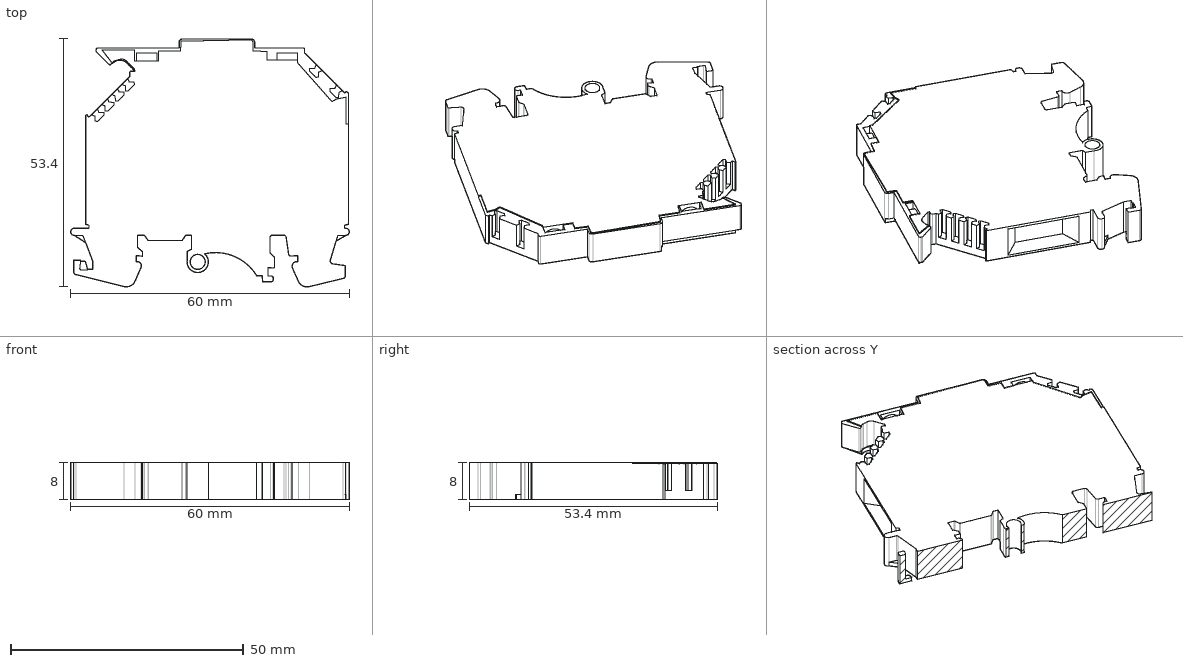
import cadquery as cq
import math


WIDTH = 60.0
HEIGHT = 53.4
THICKNESS = 8.0

WEB_TOP = 1.1
NOTCH_FLOOR = 2.0
RIM_DROP = 0.25
RIM_LEVEL = THICKNESS - RIM_DROP

LEFT_WALL = -26.75
RIGHT_WALL = 29.9
SHOULDER = 51.5
TAB_LEFT = -6.65
TAB_RIGHT = 9.65
LUG_TOP = 12.65
LUG_UNDERSIDE = 11.1
LUG_RADIUS = 0.75
RAIL_CEILING = 11.1
CLIP_FLOOR = 2.4

FLANK_LEFT_START = (-18.35, 44.3)
FLANK_RIGHT_START = (23.5, 47.2)
LEFT_NOTCHES = 4
RIGHT_NOTCHES = 2
LEFT_ROW_RUN = 6.55
NOTCH_STEP = LEFT_ROW_RUN / (LEFT_NOTCHES - 1)
MOUTH_HALF = 0.9
NECK_HALF = 0.6
NECK_DEPTH = 0.8
WAIST_HALF = 1.3
WAIST_DEPTH = 1.55
NOTCH_BOTTOM_HALF = 0.95
NOTCH_DEPTH = 2.0

PLUG_DIAMETER = 4.4
PLUG_COVER = 0.65
PLUG_AXIS_Z = RIM_LEVEL - PLUG_COVER - PLUG_DIAMETER / 2
WINDOW_TOP = 50.4
LEFT_WINDOW_X = -13.6
LEFT_WINDOW_BOTTOM = 48.65
RIGHT_WINDOW_X = 16.6
RIGHT_WINDOW_BOTTOM = 48.9

PIVOT = (-2.65, 5.4)
PIVOT_DIAMETER = 4.6
PIVOT_BORE = 3.2
RELIEF_CENTRE = (1.2, -3.0)
RELIEF_RADIUS = 10.4

ENTRY_Y = (16.1, 32.1)
ENTRY_INNER_Y = (18.4, 29.15)
ENTRY_Z = (0.55, 7.4)
ENTRY_DEPTH = 4.2

STEP_TOP = 51.05
HOOK_INSET_START_Y = 47.45
HOOK_INSET = [(-20.45, HOOK_INSET_START_Y), (-23.3, STEP_TOP)]
RIM_END = 35.1

OVERSHOOT = 3.0
MOUTH_OVERSHOOT = 0.3
CLEAR_LEFT = -WIDTH / 2
CLEAR_RIGHT = WIDTH / 2 + OVERSHOOT
CLEAR_TOP = HEIGHT + OVERSHOOT


def rounded_profile(corners):
    """Closed outline through (x, y, radius) corners, radius 0 meaning sharp."""
    path = cq.Workplane("XY")
    started = False
    for i, (x, y, radius) in enumerate(corners):
        before = corners[i - 1]
        after = corners[(i + 1) % len(corners)]
        corner = cq.Vector(x, y)
        to_before = (cq.Vector(before[0], before[1]) - corner).normalized()
        to_after = (cq.Vector(after[0], after[1]) - corner).normalized()
        half_angle = to_before.getAngle(to_after) / 2
        setback = radius / math.tan(half_angle)
        entry = corner + to_before * setback
        leave = corner + to_after * setback
        path = path.lineTo(entry.x, entry.y) if started else path.moveTo(entry.x, entry.y)
        started = True
        if radius > 0:
            bisector = (to_before + to_after).normalized()
            middle = corner + bisector * (radius / math.sin(half_angle) - radius)
            path = path.threePointArc((middle.x, middle.y), (leave.x, leave.y))
    return path.close()


def prism(points, bottom, top):
    """Straight-sided block between two Z levels."""
    return cq.Workplane("XY").workplane(offset=bottom).polyline(points).close().extrude(top - bottom)


def housing():
    left_side = [
        (LEFT_WALL, 13.5, 0),
        (-26.1, 13.25, 0),
        (-26.1, LUG_TOP, 0),
        (-WIDTH / 2, LUG_TOP, LUG_RADIUS),
        (-WIDTH / 2, LUG_UNDERSIDE, LUG_RADIUS),
        (-27.35, LUG_UNDERSIDE, 0.3),
    ]
    left_foot = [
        (-25.25, 5.5, 0),
        (-25.25, 3.85, 0),
        (-26.4, 3.85, 0),
        (-26.4, 3.65, 0),
        (-28.1, 3.65, 0.3),
        (-27.85, 5.75, 0),
        (-29.35, 5.75, 0),
        (-29.35, 2.75, 0.6),
        (-16.8, -0.35, 2.1),
        (-14.3, 5.45, 0.9),
        (-15.85, 5.45, 0),
        (-15.85, 6.7, 0),
        (-14.5, 6.6, 0),
        (-14.5, 7.6, 0.2),
        (-15.6, 8.5, 0),
        (-15.6, RAIL_CEILING, 0),
    ]
    rail_opening = [
        (-14.1, RAIL_CEILING, 0.2),
        (-13.3, 9.95, 0.2),
        (-6.0, 9.95, 0.2),
        (-5.2, RAIL_CEILING, 0.2),
        (-4.0, RAIL_CEILING, 0),
        (-4.0, 8.1, 0),
        (-4.9, 7.7, 0),
        (-4.9, CLIP_FLOOR, 0),
    ]
    clip = [
        (11.2, CLIP_FLOOR, 0),
        (11.35, 1.1, 0),
        (13.7, 1.1, 0.6),
        (13.7, CLIP_FLOOR, 0.6),
        (12.55, CLIP_FLOOR, 0),
        (12.55, 4.15, 0),
        (13.9, 4.0, 0.3),
        (13.9, 6.35, 0.3),
        (12.95, 7.3, 0.3),
        (12.95, RAIL_CEILING, 0.4),
        (16.3, RAIL_CEILING, 0.4),
        (17.0, 6.6, 0.55),
    ]
    right_foot = [
        (18.9, 6.7, 0),
        (18.9, 5.45, 0),
        (17.1, 5.45, 1.0),
        (19.75, -0.35, 2.1),
        (29.15, 1.9, 0.6),
        (29.15, 4.6, 0.2),
        (25.75, 5.1, 0.6),
    ]
    right_side = [
        (27.55, LUG_UNDERSIDE, 0),
        (WIDTH / 2, LUG_UNDERSIDE, LUG_RADIUS),
        (WIDTH / 2, LUG_TOP, LUG_RADIUS),
        (29.0, LUG_TOP, 0),
        (29.0, 13.25, 0),
        (RIGHT_WALL, 13.5, 0),
        (RIGHT_WALL, 41.7, 0),
        (29.35, 42.1, 0),
        (29.05, 41.75, 0),
    ]
    top_edge = [
        (20.4, 50.4, 0),
        (20.4, SHOULDER, 0.35),
        (TAB_RIGHT, SHOULDER, 0),
        (TAB_RIGHT, HEIGHT, 0.7),
        (TAB_LEFT, HEIGHT, 0.7),
        (TAB_LEFT, SHOULDER, 0),
    ]
    marker_hook = [
        (-24.55, SHOULDER, 0.4),
        (-24.55, 50.7, 0.2),
        (-21.55, 47.7, 0.3),
        (-20.65, 48.65, 0.9),
        (-18.6, 49.25, 1.5),
        (-16.2, 46.85, 0),
        (-16.2, 46.5, 0),
        (-17.3, 46.5, 0.35),
        (-17.3, 45.35, 0),
        (-25.75, 36.9, 0),
        (-26.1, 36.6, 0),
        (-26.5, 37.15, 0),
        (LEFT_WALL, 36.95, 0),
    ]
    outline = left_side + left_foot + rail_opening + clip + right_foot + right_side + top_edge + marker_hook
    return rounded_profile(outline).extrude(THICKNESS)


def thin_webs():
    """Webs at the base that bridge inside corners of the outline."""
    straight_webs = [
        [(-29.4, 11.2), (-26.65, 9.4), (-26.65, 11.2)],
        [(29.5, 11.2), (27.25, 9.9), (27.25, 11.2)],
        [(-28.2, 3.6), (-26.35, 3.6), (-26.35, 3.85), (-26.75, 5.4), (-27.0, 5.6), (-28.2, 5.6)],
    ]
    hook_web = [
        (-20.9, 48.25, 0),
        (-19.5, 49.8, 2.15),
        (-16.4, 46.7, 0),
        (-16.1, 46.7, 0),
        (-17.4, 50.4, 0),
        (-20.9, 50.4, 0),
    ]
    webs = rounded_profile(hook_web).extrude(WEB_TOP)
    for outline in straight_webs:
        webs = webs.union(prism(outline, 0, WEB_TOP))
    return webs


def rim_step():
    """Region along the upper edge where the rim lies below the cover face."""
    cover_edge = HOOK_INSET + [
        (-16.25, STEP_TOP),
        (-16.25, LEFT_WINDOW_BOTTOM),
        (-11.05, LEFT_WINDOW_BOTTOM),
        (-11.05, 50.8),
        (-6.35, 50.8),
        (-6.2, 52.9),
        (8.95, 53.2),
        (9.3, 52.75),
        (9.3, 50.8),
        (12.3, 50.7),
        (12.3, RIGHT_WINDOW_BOTTOM),
        (18.85, RIGHT_WINDOW_BOTTOM),
        (18.85, 48.3),
        (26.3, 39.9),
        (27.2, 40.45),
        (29.3, 40.85),
        (29.3, RIM_END),
    ]
    surround = [
        (CLEAR_RIGHT, RIM_END),
        (CLEAR_RIGHT, CLEAR_TOP),
        (CLEAR_LEFT, CLEAR_TOP),
        (CLEAR_LEFT, HOOK_INSET_START_Y),
    ]
    return prism(cover_edge + surround, RIM_LEVEL, THICKNESS + OVERSHOOT)


def base_step():
    """Relief of the base along the hook and the left end of the top edge."""
    outline = HOOK_INSET + [
        (-6.35, STEP_TOP),
        (-6.35, CLEAR_TOP),
        (CLEAR_LEFT, CLEAR_TOP),
        (CLEAR_LEFT, HOOK_INSET_START_Y),
    ]
    return prism(outline, -OVERSHOOT, WEB_TOP)


def dovetail_notch(centre, inward_angle):
    """Notch cut from a flank at `centre`, pointing along `inward_angle` degrees."""
    half = [
        (-MOUTH_OVERSHOOT, MOUTH_HALF),
        (0, MOUTH_HALF),
        (NECK_DEPTH, NECK_HALF),
        (WAIST_DEPTH, WAIST_HALF),
        (NOTCH_DEPTH, NOTCH_BOTTOM_HALF),
    ]
    mirrored = [(depth, -side) for depth, side in reversed(half)]
    notch = prism(half + mirrored, NOTCH_FLOOR, THICKNESS + OVERSHOOT)
    return notch.rotate((0, 0, 0), (0, 0, 1), inward_angle).translate((centre[0], centre[1], 0))


def flank_notches(start, count, step_x, step_y, inward_angle):
    """Row of equal notches along a flank."""
    notches = dovetail_notch(start, inward_angle)
    for i in range(1, count):
        centre = (start[0] + i * step_x, start[1] + i * step_y)
        notches = notches.union(dovetail_notch(centre, inward_angle))
    return notches


def plug_window(centre_x, bottom):
    """Rectangular opening whose floor is the round back of a plug."""
    length = WINDOW_TOP - bottom
    opening = (
        cq.Workplane("XY")
        .workplane(offset=PLUG_AXIS_Z)
        .center(centre_x, bottom + length / 2)
        .rect(PLUG_DIAMETER, length)
        .extrude(THICKNESS)
    )
    plug = (
        cq.Workplane("XZ", origin=(centre_x, WINDOW_TOP, PLUG_AXIS_Z))
        .circle(PLUG_DIAMETER / 2)
        .extrude(length)
    )
    return opening.cut(plug)


def wire_entry():
    """Funnel that narrows along Y towards its flat back."""
    back = LEFT_WALL + ENTRY_DEPTH
    outline = [
        (LEFT_WALL, ENTRY_Y[0]),
        (back, ENTRY_INNER_Y[0]),
        (back, ENTRY_INNER_Y[1]),
        (LEFT_WALL, ENTRY_Y[1]),
    ]
    return prism(outline, *ENTRY_Z)


def upright_cylinder(centre, diameter):
    return cq.Workplane("XY").center(*centre).circle(diameter / 2).extrude(THICKNESS)


result = (
    housing()
    .cut(upright_cylinder(RELIEF_CENTRE, 2 * RELIEF_RADIUS))
    .union(upright_cylinder(PIVOT, PIVOT_DIAMETER))
    .cut(upright_cylinder(PIVOT, PIVOT_BORE))
    .union(thin_webs())
    .cut(rim_step())
    .cut(base_step())
    .cut(flank_notches(FLANK_LEFT_START, LEFT_NOTCHES, -NOTCH_STEP, -NOTCH_STEP, -45))
    .cut(flank_notches(FLANK_RIGHT_START, RIGHT_NOTCHES, 2 * NOTCH_STEP, -2 * NOTCH_STEP, -135))
    .cut(plug_window(LEFT_WINDOW_X, LEFT_WINDOW_BOTTOM))
    .cut(plug_window(RIGHT_WINDOW_X, RIGHT_WINDOW_BOTTOM))
    .cut(wire_entry())
)